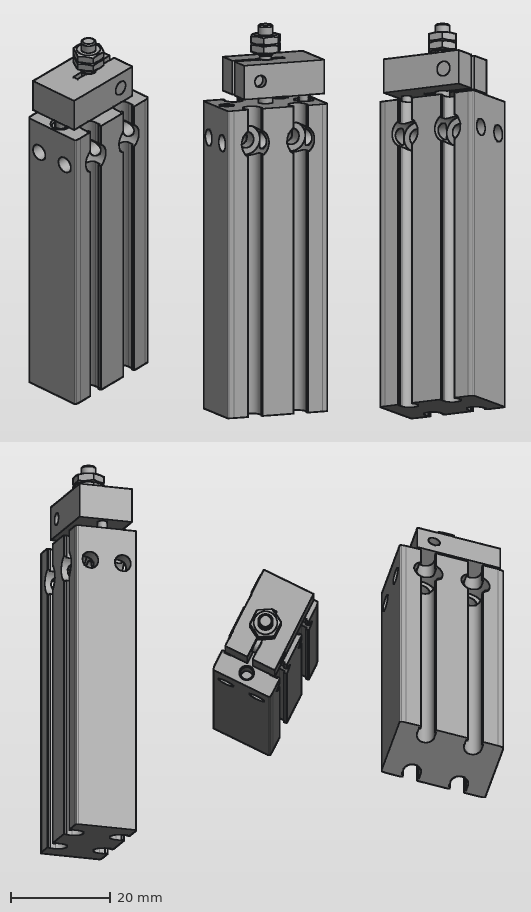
import cadquery as cq
import math

HOUSING_WIDTH = 13.0
HOUSING_DEPTH = 22.0
HOUSING_TOP = 63.05
SIDE_FLAT_HALF = 9.7
SIDE_CURVE_RADIUS = 5.0
CORNER_RADIUS = 0.3

GROOVE_OFFSET = 5.0
GROOVE_DIAMETER = 3.6
GROOVE_OPENING = 3.0
GROOVE_MOUTH_CHAMFER = 0.15
GROOVE_CENTRE_DEPTH = 1.8
GROOVE_LIP = 0.6

MOUNT_HEIGHT = 56.0
SIDE_HOLE_DIAMETER = 3.3
SIDE_HEAD_DIAMETER = 6.0
SIDE_HEAD_DEPTH = 4.8
FRONT_HOLE_DIAMETER = 3.4
FRONT_HOLE_OFFSET = 3.5

PORT_Y = 8.5
PORT_DIAMETER = 2.5
PORT_MOUTH_DIAMETER = 3.0
PORT_DEPTH = 4.75

PLATE_WIDTH = 11.2
PLATE_BACK = 7.0
PLATE_FRONT = -10.5
PLATE_BOTTOM = 65.0
PLATE_TOP = 72.0
SLOT_WIDTH = 1.2
SLOT_END = -3.95

GUIDE_Y = -8.4
GUIDE_DIAMETER = 2.0
GUIDE_RECESS_MOUTH_DIAMETER = 4.1
GUIDE_RECESS_FLOOR_DIAMETER = 3.5
GUIDE_HOLE_DIAMETER = 2.45

SCREW_Y = 3.5
SCREW_DIAMETER = 3.0
SCREW_TIP_X = -4.0
SCREW_TAP_DIAMETER = 2.45

ROD_DIAMETER = 3.0
ROD_TOP = 79.0
ROD_TIP_CHAMFER = 0.3
NECK_DIAMETER = 2.4
NECK_TOP = 72.7
INSERTION_DEPTH = 7.9

NUT_FLATS = 5.5
NUT_HEIGHT = 1.8
NUT_COUNT = 2
NUT_STACK_BOTTOM = 73.4
NUT_FACE_DIAMETER = 4.75
NUT_CORNER_DROP = 0.28

INSERTION_BOTTOM = HOUSING_TOP - INSERTION_DEPTH
SCREW_Z = (PLATE_BOTTOM + PLATE_TOP) / 2


def upright_cylinder(diameter, bottom, top, y=0):
    """Cylinder along Z, centred on X."""
    return cq.Workplane("XY", origin=(0, y, bottom)).circle(diameter / 2).extrude(top - bottom)


def cross_cylinder(diameter, x_start, x_end, y, z):
    """Cylinder along X."""
    return cq.Workplane("YZ", origin=(x_start, y, z)).circle(diameter / 2).extrude(x_end - x_start)


def housing_blank():
    """Extrusion whose side faces curve in slightly towards rounded corners."""
    half_x = HOUSING_WIDTH / 2
    half_y = HOUSING_DEPTH / 2

    def side_x(y):
        into_curve = y - SIDE_FLAT_HALF
        return half_x - SIDE_CURVE_RADIUS + math.sqrt(SIDE_CURVE_RADIUS**2 - into_curve**2)

    end_x = side_x(half_y)
    mid_y = (SIDE_FLAT_HALF + half_y) / 2
    mid_x = side_x(mid_y)
    return (
        cq.Workplane("XY")
        .moveTo(-end_x, -half_y)
        .lineTo(end_x, -half_y)
        .threePointArc((mid_x, -mid_y), (half_x, -SIDE_FLAT_HALF))
        .lineTo(half_x, SIDE_FLAT_HALF)
        .threePointArc((mid_x, mid_y), (end_x, half_y))
        .lineTo(-end_x, half_y)
        .threePointArc((-mid_x, mid_y), (-half_x, SIDE_FLAT_HALF))
        .lineTo(-half_x, -SIDE_FLAT_HALF)
        .threePointArc((-mid_x, -mid_y), (-end_x, -half_y))
        .close()
        .extrude(HOUSING_TOP)
        .edges("|Z and (>Y or <Y)")
        .fillet(CORNER_RADIUS)
    )


def groove(side, y):
    """Sensor groove along the full height: a narrow chamfered mouth, then a wider round-bottomed channel."""
    channel_half = GROOVE_DIAMETER / 2
    mouth_half = GROOVE_OPENING / 2
    channel = (
        cq.Workplane("XY")
        .moveTo(0, -mouth_half - GROOVE_MOUTH_CHAMFER)
        .lineTo(GROOVE_MOUTH_CHAMFER, -mouth_half)
        .lineTo(GROOVE_LIP, -mouth_half)
        .lineTo(GROOVE_LIP, -channel_half)
        .lineTo(GROOVE_CENTRE_DEPTH, -channel_half)
        .threePointArc((GROOVE_CENTRE_DEPTH + channel_half, 0), (GROOVE_CENTRE_DEPTH, channel_half))
        .lineTo(GROOVE_LIP, channel_half)
        .lineTo(GROOVE_LIP, mouth_half)
        .lineTo(GROOVE_MOUTH_CHAMFER, mouth_half)
        .lineTo(0, mouth_half + GROOVE_MOUTH_CHAMFER)
        .close()
        .extrude(HOUSING_TOP)
    )
    if side > 0:
        channel = channel.mirror("YZ")
    return channel.translate((side * HOUSING_WIDTH / 2, y, 0))


def side_mounting_hole(y):
    """Through hole along X, counterbored from both sides."""
    half_x = HOUSING_WIDTH / 2
    hole = cross_cylinder(SIDE_HOLE_DIAMETER, -half_x, half_x, y, MOUNT_HEIGHT)
    for side in (-1, 1):
        floor_x = side * (half_x - SIDE_HEAD_DEPTH)
        hole = hole.union(cross_cylinder(SIDE_HEAD_DIAMETER, floor_x, side * half_x, y, MOUNT_HEIGHT))
    return hole


def front_mounting_hole(x):
    """Plain through hole along Y."""
    return (
        cq.Workplane("XZ", origin=(x, 0, MOUNT_HEIGHT))
        .circle(FRONT_HOLE_DIAMETER / 2)
        .extrude(HOUSING_DEPTH / 2, both=True)
    )


def top_countersink(mouth_diameter, floor_diameter, y):
    """45 degree cone sunk into the top face."""
    mouth_radius = mouth_diameter / 2
    floor_radius = floor_diameter / 2
    depth = mouth_radius - floor_radius
    return cq.Workplane(
        cq.Solid.makeCone(floor_radius, mouth_radius, depth, cq.Vector(0, y, HOUSING_TOP - depth))
    )


def make_housing():
    body = housing_blank()
    for y in (-GROOVE_OFFSET, GROOVE_OFFSET):
        for side in (-1, 1):
            body = body.cut(groove(side, y))
        body = body.cut(side_mounting_hole(y))
    for x in (-FRONT_HOLE_OFFSET, FRONT_HOLE_OFFSET):
        body = body.cut(front_mounting_hole(x))
    body = body.cut(upright_cylinder(PORT_DIAMETER, HOUSING_TOP - PORT_DEPTH, HOUSING_TOP, PORT_Y))
    body = body.cut(top_countersink(PORT_MOUTH_DIAMETER, PORT_DIAMETER, PORT_Y))
    body = body.cut(upright_cylinder(ROD_DIAMETER, INSERTION_BOTTOM, HOUSING_TOP))
    body = body.cut(upright_cylinder(GUIDE_HOLE_DIAMETER, INSERTION_BOTTOM, HOUSING_TOP, GUIDE_Y))
    return body.cut(top_countersink(GUIDE_RECESS_MOUTH_DIAMETER, GUIDE_RECESS_FLOOR_DIAMETER, GUIDE_Y))


def make_plate():
    """Clamp plate split by a slot, with the guide pin standing down from it."""
    half_x = PLATE_WIDTH / 2
    thickness = PLATE_TOP - PLATE_BOTTOM
    plate = cq.Workplane("XY", origin=(0, (PLATE_BACK + PLATE_FRONT) / 2, PLATE_BOTTOM)).box(
        PLATE_WIDTH, PLATE_BACK - PLATE_FRONT, thickness, centered=(True, True, False)
    )
    slot = cq.Workplane("XY", origin=(0, (PLATE_BACK + SLOT_END) / 2, PLATE_BOTTOM)).box(
        SLOT_WIDTH, PLATE_BACK - SLOT_END, thickness, centered=(True, True, False)
    )
    plate = plate.cut(slot).cut(upright_cylinder(ROD_DIAMETER, PLATE_BOTTOM, PLATE_TOP))
    plate = plate.cut(cross_cylinder(SCREW_TAP_DIAMETER, -half_x, SCREW_TIP_X, SCREW_Y, SCREW_Z))
    plate = plate.cut(make_screw())
    return plate.union(upright_cylinder(GUIDE_DIAMETER, INSERTION_BOTTOM, PLATE_BOTTOM, GUIDE_Y))


def make_screw():
    return cross_cylinder(SCREW_DIAMETER, SCREW_TIP_X, PLATE_WIDTH / 2, SCREW_Y, SCREW_Z)


def make_rod():
    """Rod with a neck just above the plate and a thread-sized end through the nuts."""
    radius = ROD_DIAMETER / 2
    neck_radius = NECK_DIAMETER / 2
    return (
        cq.Workplane("XZ")
        .moveTo(0, INSERTION_BOTTOM)
        .lineTo(radius, INSERTION_BOTTOM)
        .lineTo(radius, PLATE_TOP)
        .lineTo(neck_radius, PLATE_TOP)
        .lineTo(neck_radius, NECK_TOP)
        .lineTo(radius, NECK_TOP + radius - neck_radius)
        .lineTo(radius, ROD_TOP - ROD_TIP_CHAMFER)
        .lineTo(radius - ROD_TIP_CHAMFER, ROD_TOP)
        .lineTo(0, ROD_TOP)
        .close()
        .revolve(360, (0, 0, 0), (0, 1, 0))
    )


def make_nut(bottom):
    """Hexagon nut with corners on the Y axis, chamfered on both faces."""
    corner_radius = NUT_FLATS / math.sqrt(3)
    face_radius = NUT_FACE_DIAMETER / 2
    hexagon = (
        cq.Workplane("XY")
        .polygon(6, 2 * corner_radius)
        .extrude(NUT_HEIGHT)
        .rotate((0, 0, 0), (0, 0, 1), 90)
    )
    envelope = (
        cq.Workplane("XZ")
        .moveTo(0, 0)
        .lineTo(face_radius, 0)
        .lineTo(corner_radius, NUT_CORNER_DROP)
        .lineTo(corner_radius, NUT_HEIGHT - NUT_CORNER_DROP)
        .lineTo(face_radius, NUT_HEIGHT)
        .lineTo(0, NUT_HEIGHT)
        .close()
        .revolve(360, (0, 0, 0), (0, 1, 0))
    )
    nut = hexagon.intersect(envelope).translate((0, 0, bottom))
    return nut.cut(upright_cylinder(ROD_DIAMETER, bottom, bottom + NUT_HEIGHT))


housing = make_housing()
plate = make_plate()
screw = make_screw()
rod = make_rod()
nuts = [make_nut(NUT_STACK_BOTTOM + index * NUT_HEIGHT) for index in range(NUT_COUNT)]

result = cq.Compound.makeCompound(
    [housing.val(), plate.val(), screw.val(), rod.val(), *[nut.val() for nut in nuts]]
)